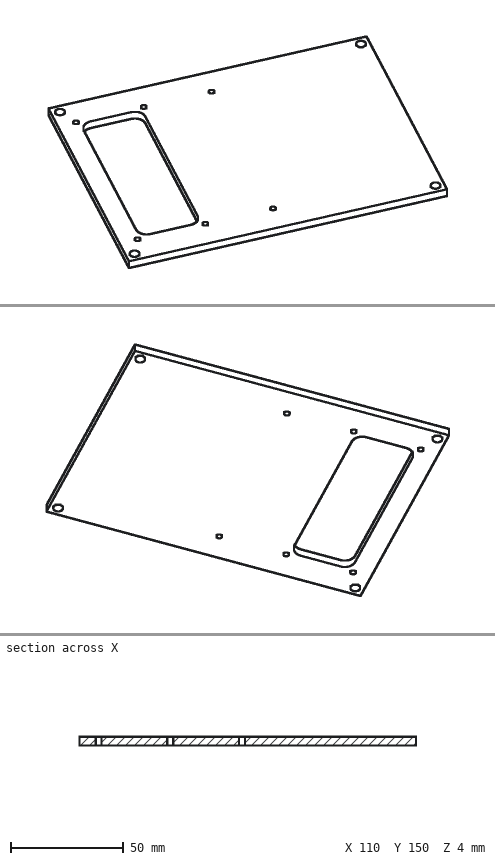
import cadquery as cq

plate_width = 110.0
plate_length = 150.0
plate_thickness = 4.0

corner_hole_diameter = 4.4
corner_hole_inset = 4.0

small_hole_diameter = 2.5
small_hole_column_spacing = 84.0
small_hole_row_spacing = 32.0
small_hole_middle_y = -34.5

window_width = 81.0
window_height = 29.0
window_corner_radius = 5.0
window_center_y = small_hole_middle_y - small_hole_row_spacing / 2

plate = cq.Workplane("XY").box(plate_width, plate_length, plate_thickness)

corner_holes = (
    cq.Workplane("XY")
    .rect(plate_width - 2 * corner_hole_inset, plate_length - 2 * corner_hole_inset, forConstruction=True)
    .vertices()
    .circle(corner_hole_diameter / 2)
    .extrude(plate_thickness, both=True)
)

small_holes = (
    cq.Workplane("XY")
    .center(0, small_hole_middle_y)
    .rarray(small_hole_column_spacing, small_hole_row_spacing, 2, 3)
    .circle(small_hole_diameter / 2)
    .extrude(plate_thickness, both=True)
)

window = (
    cq.Workplane("XY")
    .center(0, window_center_y)
    .rect(window_width, window_height)
    .extrude(plate_thickness, both=True)
    .edges("|Z")
    .fillet(window_corner_radius)
)

result = plate.cut(corner_holes).cut(small_holes).cut(window)